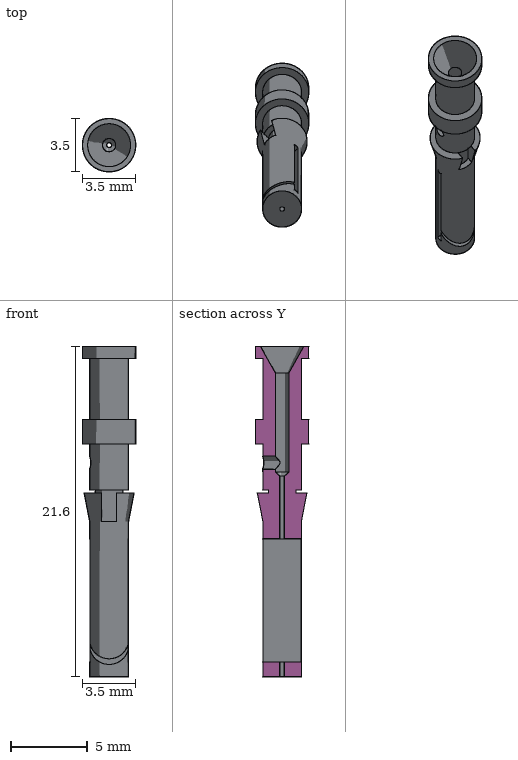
import cadquery as cq

length = 21.6
body_radius = 1.27
flange_radius = 1.75
top_flange_height = 0.8

collar_bottom = 15.2
collar_top = 16.83

barb_bottom = 10.15
barb_top = 12.03
barb_radius = 1.65
barb_notch_width = 1.0
neck_top = 12.2
neck_radius = 0.9

funnel_radius = 1.4
funnel_depth = 1.73
bore_radius = 0.43
bore_bottom = 13.4
drill_tip_depth = 0.25
fine_hole_radius = 0.15

inspection_radius = 0.4
inspection_height = 14.0

slot_width = 0.35
slot_bottom = 1.0
slot_top = 9.03
slit_inner_height = 1.9
slit_outer_height = 0.82
slit_gap = 0.37


def revolve_profile(points):
    """Turn a closed (radius, height) outline around the Z axis."""
    profile = cq.Workplane("XZ").polyline(points).close()
    return profile.revolve(360, (0, 0, 0), (0, 1, 0))


def make_body():
    return revolve_profile([
        (0, 0),
        (body_radius, 0),
        (body_radius, barb_bottom),
        (barb_radius, barb_top),
        (neck_radius, barb_top),
        (neck_radius, neck_top),
        (body_radius, neck_top),
        (body_radius, collar_bottom),
        (flange_radius, collar_bottom),
        (flange_radius, collar_top),
        (body_radius, collar_top),
        (body_radius, length - top_flange_height),
        (flange_radius, length - top_flange_height),
        (flange_radius, length),
        (0, length),
    ])


def make_wire_bore():
    return revolve_profile([
        (0, 0),
        (fine_hole_radius, 0),
        (fine_hole_radius, bore_bottom - drill_tip_depth),
        (bore_radius, bore_bottom),
        (bore_radius, length - funnel_depth),
        (funnel_radius, length),
        (0, length),
    ])


def make_inspection_hole():
    """Radial hole from the -X side to the axis."""
    hole = cq.Workplane("YZ").center(0, inspection_height).circle(inspection_radius)
    return hole.extrude(-flange_radius)


def make_barb_notch():
    """Notch through the -Y side of the barb, with a round floor flush with the neck."""
    barb_height = barb_top - barb_bottom
    base = cq.Workplane("XY").workplane(offset=barb_bottom)
    notch = base.center(0, -flange_radius / 2).rect(barb_notch_width, flange_radius).extrude(barb_height)
    neck = base.circle(neck_radius).extrude(barb_height)
    return notch.cut(neck)


def make_spring_slot():
    slot = cq.Workplane("XY").workplane(offset=slot_bottom)
    return slot.rect(2 * flange_radius, slot_width).extrude(slot_top - slot_bottom)


def make_slanted_slit():
    """Slit through X, sloping down from the spring slot to the -Y surface."""
    slit = cq.Workplane("YZ").polyline([
        (-slot_width / 2, slit_inner_height),
        (-slot_width / 2, slit_inner_height + slit_gap),
        (-body_radius, slit_outer_height + slit_gap),
        (-body_radius, slit_outer_height),
    ]).close()
    return slit.extrude(flange_radius, both=True)


result = (
    make_body()
    .cut(make_wire_bore())
    .cut(make_inspection_hole())
    .cut(make_barb_notch())
    .cut(make_spring_slot())
    .cut(make_slanted_slit())
)